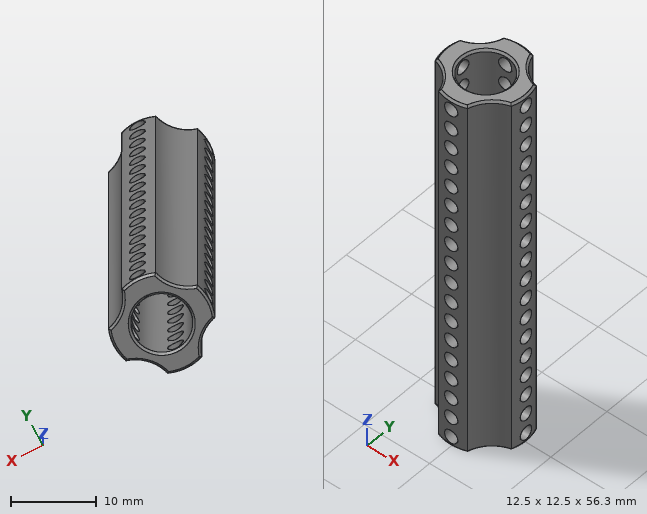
import cadquery as cq

length = 56.25
outer_diameter = 12.5
bore_diameter = 7.2
edge_chamfer = 0.3

flute_count = 4
flute_start_angle = 180 / flute_count
flute_radius = 5.0
flute_floor_radius = 5.0
flute_center_radius = flute_floor_radius + flute_radius

hole_diameter = 2.0
hole_count = 18
hole_pitch = length / hole_count


def fluted_tube():
    """Round bar with four flutes and a through bore, chamfered at both ends."""
    bar = cq.Workplane("XY").circle(outer_diameter / 2).extrude(length)
    flutes = (
        cq.Workplane("XY")
        .polarArray(flute_center_radius, flute_start_angle, 360, flute_count)
        .circle(flute_radius)
        .extrude(length)
    )
    bore = cq.Workplane("XY").circle(bore_diameter / 2).extrude(length)
    tube = bar.cut(flutes).cut(bore)
    return tube.faces("<Z or >Z").edges().chamfer(edge_chamfer)


def cross_holes(plane):
    """Row of holes running right through the tube along the normal of the plane."""
    hole_heights = [(i + 0.5) * hole_pitch for i in range(hole_count)]
    return (
        cq.Workplane(plane)
        .pushPoints([(0, height) for height in hole_heights])
        .circle(hole_diameter / 2)
        .extrude(outer_diameter, both=True)
    )


result = fluted_tube()
for hole_plane in ("XZ", "YZ"):
    result = result.cut(cross_holes(hole_plane))